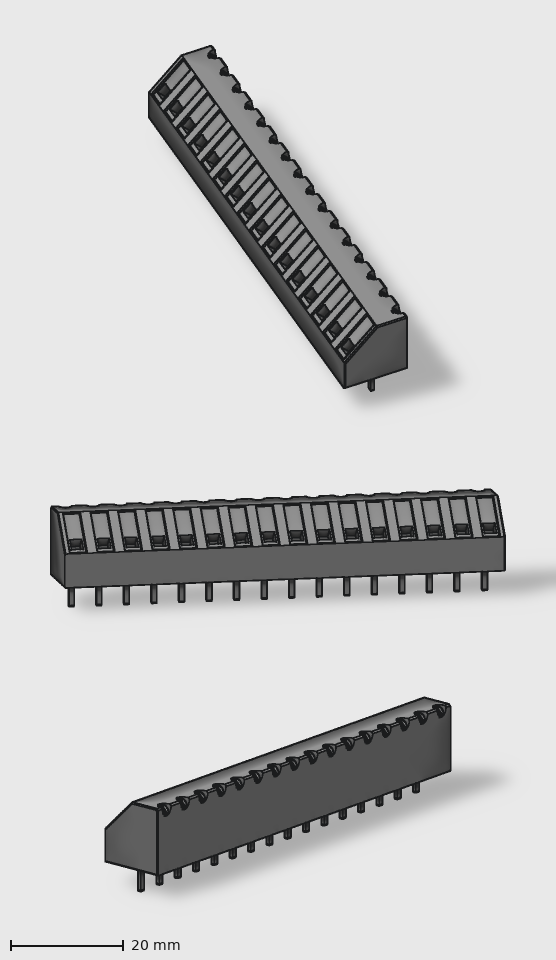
import cadquery as cq
import math


way_count = 16
length = 80.0
pitch = length / way_count
depth = 12.5
height = 12.5
front_height = 6.2
slope_run = 6.4
rear_edge_chamfer = 0.3
right_end_chamfer = 0.2
left_end_chamfer = 0.2

recess_width = 3.2
recess_depth = 0.3
recess_margin = 0.2
recess_draft = 0.2
entry_width = 2.2
entry_length = 2.2
entry_depth = 2.6
entry_start = 1.1

screw_tilt = 45.0
bore_diameter = 2.5
head_diameter = 2.2
head_recess = 1.1
head_thickness = 0.3
slot_width = 0.6
slot_depth = 0.2

pin_width = 1.0
pin_thickness = 0.7
pin_length = 4.6
pin_y = 6.5
pin_tip_height = 0.2
pin_tip_inset = 0.1

slope_length = math.hypot(slope_run, height - front_height)
way_positions = [-length / 2 + pitch * (i + 0.5) for i in range(way_count)]


def make_housing():
    """Wedge-section bar with a softened top rear edge and chamfered ends."""
    outline = [
        (0, 0),
        (depth, 0),
        (depth, height - rear_edge_chamfer),
        (depth - rear_edge_chamfer, height),
        (slope_run, height),
        (0, front_height),
    ]
    bar = cq.Workplane("YZ", origin=(-length / 2, 0, 0)).polyline(outline).close().extrude(length)
    bar = bar.faces(">X").chamfer(right_end_chamfer)
    left_end_edges = bar.faces("<X").edges("not |Z")
    return left_end_edges.chamfer(left_end_chamfer)


def slope_plane(x, along):
    """Plane on the sloped face, `along` up from its front edge, local Y pointing uphill."""
    run = slope_run / slope_length
    rise = (height - front_height) / slope_length
    return cq.Plane(
        origin=(x, along * run, front_height + along * rise),
        xDir=(1, 0, 0),
        normal=(0, -rise, run),
    )


def wire_entry(x):
    """Shallow recess with flared side walls plus the wire opening in its lower part."""
    recess_length = slope_length - 2 * recess_margin
    rim_half = recess_width / 2
    floor_half = rim_half - recess_draft
    recess_end = slope_plane(x, recess_margin)
    section_plane = cq.Plane(origin=recess_end.origin, xDir=(1, 0, 0), normal=recess_end.yDir)
    recess = (
        cq.Workplane(section_plane)
        .polyline([(-rim_half, 0), (rim_half, 0), (floor_half, recess_depth), (-floor_half, recess_depth)])
        .close()
        .extrude(recess_length)
    )
    opening = (
        cq.Workplane(slope_plane(x, entry_start + entry_length / 2))
        .rect(entry_width, entry_length)
        .extrude(-entry_depth)
    )
    return recess.union(opening)


def screw_pocket(x):
    """Tilted bore with a slotted screw head left standing on its floor."""
    tilt = math.radians(screw_tilt)
    axis_plane = cq.Plane(
        origin=(x, depth, height),
        xDir=(1, 0, 0),
        normal=(0, math.sin(tilt), math.cos(tilt)),
    )
    bore_floor = head_recess + head_thickness
    bore = (
        cq.Workplane(axis_plane)
        .workplane(offset=-bore_floor)
        .circle(bore_diameter / 2)
        .extrude(bore_floor + bore_diameter)
    )
    head = (
        cq.Workplane(axis_plane)
        .workplane(offset=-bore_floor)
        .circle(head_diameter / 2)
        .extrude(head_thickness)
    )
    slot = (
        cq.Workplane(axis_plane)
        .workplane(offset=-head_recess)
        .rect(slot_width, head_diameter)
        .extrude(-slot_depth)
    )
    return bore.cut(head.cut(slot))


def solder_pin(x):
    """Rectangular pin below the base with a slightly tapered tip."""
    shank_length = pin_length - pin_tip_height
    shank = cq.Workplane("XY", origin=(x, pin_y, 0)).rect(pin_width, pin_thickness).extrude(-shank_length)
    tip = (
        cq.Workplane("XY", origin=(x, pin_y, -shank_length))
        .rect(pin_width, pin_thickness)
        .workplane(offset=-pin_tip_height)
        .rect(pin_width - 2 * pin_tip_inset, pin_thickness - 2 * pin_tip_inset)
        .loft()
    )
    return shank.union(tip)


result = make_housing()
for way_x in way_positions:
    result = result.cut(wire_entry(way_x)).cut(screw_pocket(way_x)).union(solder_pin(way_x))